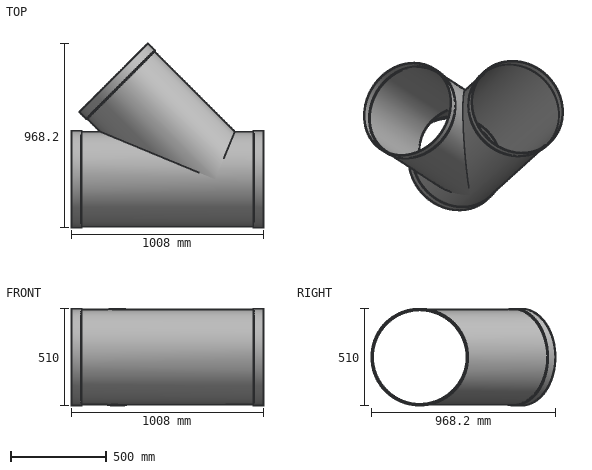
import cadquery as cq
import math

wall = 5.0
pipe_outer_radius = 250.0
pipe_bore_radius = pipe_outer_radius - wall

socket_outer_radius = pipe_outer_radius + wall
socket_bore_radius = pipe_outer_radius
socket_bore_depth = 50.0
lip_radius = wall
socket_length = socket_bore_depth + lip_radius

run_length = 1008.0
branch_angle = 45.0
branch_clear_length = 150.0

acute_crotch_reach = pipe_outer_radius / math.tan(math.radians(branch_angle / 2))
obtuse_crotch_reach = pipe_outer_radius * math.tan(math.radians(branch_angle / 2))
branch_length = acute_crotch_reach + branch_clear_length

branch_start_x = (acute_crotch_reach - obtuse_crotch_reach) / 2

branch_direction = cq.Vector(
    -math.cos(math.radians(branch_angle)),
    math.sin(math.radians(branch_angle)),
    0,
)
branch_start = cq.Vector(branch_start_x, 0, 0)
branch_end = branch_start + branch_direction * branch_length

run_direction = cq.Vector(1, 0, 0)
run_left_end = run_direction * (-run_length / 2)
run_right_end = run_direction * (run_length / 2)


def cylinder(radius, length, start, direction):
    return cq.Workplane(cq.Solid.makeCylinder(radius, length, start, direction))


def socket_cavity(end, inward):
    """Straight socket bore, closing to the pipe bore over the rounded inner lip of the pipe end."""
    radial = cq.Vector(0, 0, 1)
    section_plane = cq.Plane(end, radial, radial.cross(inward))
    lip_inset = lip_radius * math.sin(math.radians(45))
    lip_middle = (socket_bore_radius - lip_inset, socket_length - lip_inset)
    return (
        cq.Workplane(section_plane)
        .lineTo(socket_bore_radius, 0)
        .lineTo(socket_bore_radius, socket_bore_depth)
        .threePointArc(lip_middle, (pipe_bore_radius, socket_length))
        .lineTo(0, socket_length)
        .close()
        .revolve(360, (0, 0, 0), (0, 1, 0))
    )


def pipe(radius):
    """Run and branch joined, as solid cylinders of one radius."""
    run = cylinder(radius, run_length, run_left_end, run_direction)
    branch = cylinder(radius, branch_length, branch_start, branch_direction)
    return run.union(branch)


open_ends = [
    (run_left_end, run_direction),
    (run_right_end, -run_direction),
    (branch_end, -branch_direction),
]

result = pipe(pipe_outer_radius)
for end, inward in open_ends:
    result = result.union(cylinder(socket_outer_radius, socket_length, end, inward))

result = result.cut(pipe(pipe_bore_radius))
for end, inward in open_ends:
    result = result.cut(socket_cavity(end, inward))